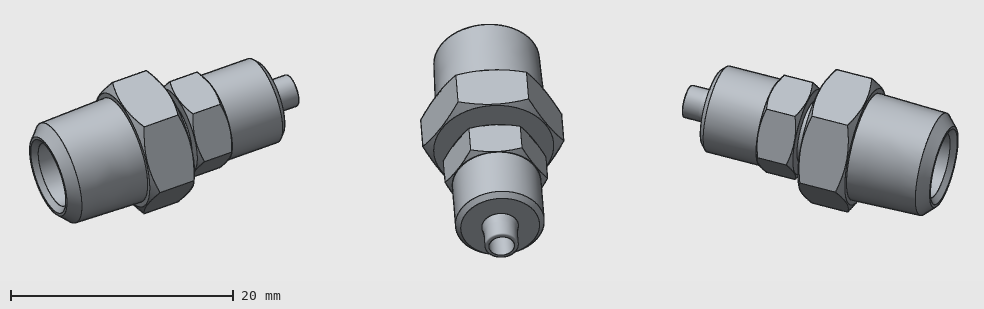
import cadquery as cq
import math


thread_length = 7.5
thread_gauge_radius = 4.85
thread_gauge_length = 4.0
thread_slope = 1 / 32
thread_chamfer = 1.0

hex_sides = 6
body_hex_flats = 11.0
body_hex_length = 4.5
body_hex_face_radius = 5.4
nut_hex_flats = 8.0
nut_hex_length = 3.5
nut_hex_face_radius = 3.95
hex_bevel_angle = 30.0

neck_radius = 2.87
neck_length = 1.0
neck_fillet = 0.2

nut_radius = 4.0
nut_sleeve_length = 5.5
nut_chamfer = 0.45

tip_length = 2.5
tip_radius = 1.5
tip_fillet = 0.15
tip_cone_length = 0.87
tip_cone_base_radius = 1.65

bore_radius = 3.0
bore_depth = 9.0
bore_mouth_chamfer = 0.5
drill_point_angle = 118.0
passage_radius = 1.2
tip_hole_radius = 1.15

quarter_arc_drop = 1 - math.sqrt(0.5)

body_hex_start = thread_length
neck_start = body_hex_start + body_hex_length
nut_hex_start = neck_start + neck_length
nut_sleeve_start = nut_hex_start + nut_hex_length
tip_start = nut_sleeve_start + nut_sleeve_length
tip_end = tip_start + tip_length


def thread_radius(y):
    """Radius of the tapered thread at station y."""
    return thread_gauge_radius + (y - thread_gauge_length) * thread_slope


def revolve_about_y(profile):
    """Close a (radius, Y) profile and revolve it fully about the Y axis."""
    return profile.close().revolve(360, (0, 0, 0), (0, 1, 0))


def make_thread():
    end_radius = thread_radius(thread_chamfer) - thread_chamfer
    return revolve_about_y(
        cq.Workplane("XY")
        .moveTo(0, 0)
        .lineTo(end_radius, 0)
        .lineTo(thread_radius(thread_chamfer), thread_chamfer)
        .lineTo(thread_radius(thread_length), thread_length)
        .lineTo(0, thread_length)
    )


def make_hexagon(start, length, flats, face_radius):
    """Hexagon with corners on +X and -X, its corners bevelled at both ends."""
    corner_radius = flats / 2 / math.cos(math.pi / hex_sides)
    bevel_length = (corner_radius - face_radius) * math.tan(math.radians(hex_bevel_angle))
    end = start + length
    prism = (
        cq.Workplane("XZ", origin=(0, start, 0))
        .polygon(hex_sides, 2 * corner_radius)
        .extrude(-length)
    )
    envelope = revolve_about_y(
        cq.Workplane("XY")
        .moveTo(0, start)
        .lineTo(face_radius, start)
        .lineTo(corner_radius, start + bevel_length)
        .lineTo(corner_radius, end - bevel_length)
        .lineTo(face_radius, end)
        .lineTo(0, end)
    )
    return prism.intersect(envelope)


def make_neck():
    """Round neck, flaring through a fillet into the larger hexagon."""
    arc_drop = neck_fillet * quarter_arc_drop
    return revolve_about_y(
        cq.Workplane("XY")
        .moveTo(0, neck_start)
        .lineTo(neck_radius + neck_fillet, neck_start)
        .threePointArc(
            (neck_radius + arc_drop, neck_start + arc_drop),
            (neck_radius, neck_start + neck_fillet),
        )
        .lineTo(neck_radius, nut_hex_start)
        .lineTo(0, nut_hex_start)
    )


def make_sleeve_and_tip():
    """Chamfered round end of the nut with the hose tip standing out of it."""
    arc_drop = tip_fillet * quarter_arc_drop
    return revolve_about_y(
        cq.Workplane("XY")
        .moveTo(0, nut_sleeve_start)
        .lineTo(nut_radius, nut_sleeve_start)
        .lineTo(nut_radius, tip_start - nut_chamfer)
        .lineTo(nut_radius - nut_chamfer, tip_start)
        .lineTo(tip_cone_base_radius, tip_start)
        .lineTo(tip_radius, tip_start + tip_cone_length)
        .lineTo(tip_radius, tip_end - tip_fillet)
        .threePointArc(
            (tip_radius - arc_drop, tip_end - arc_drop),
            (tip_radius - tip_fillet, tip_end),
        )
        .lineTo(0, tip_end)
    )


def make_passage():
    """Drilled bore with a conical bottom, running on as a narrow hole through the tip."""
    drill_slope = math.tan(math.radians(drill_point_angle / 2))
    cone_end = bore_depth + (bore_radius - passage_radius) / drill_slope
    return revolve_about_y(
        cq.Workplane("XY")
        .moveTo(0, 0)
        .lineTo(bore_radius + bore_mouth_chamfer, 0)
        .lineTo(bore_radius, bore_mouth_chamfer)
        .lineTo(bore_radius, bore_depth)
        .lineTo(passage_radius, cone_end)
        .lineTo(passage_radius, tip_start)
        .lineTo(tip_hole_radius, tip_start)
        .lineTo(tip_hole_radius, tip_end)
        .lineTo(0, tip_end)
    )


body_hex = make_hexagon(body_hex_start, body_hex_length, body_hex_flats, body_hex_face_radius)
nut_hex = make_hexagon(nut_hex_start, nut_hex_length, nut_hex_flats, nut_hex_face_radius)

result = (
    make_thread()
    .union(body_hex)
    .union(make_neck())
    .union(nut_hex)
    .union(make_sleeve_and_tip())
    .cut(make_passage())
)